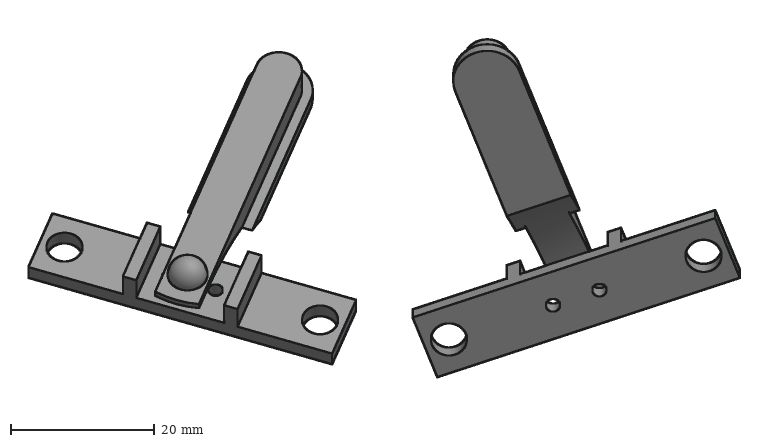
import cadquery as cq

plate_length = 45.0
plate_width = 10.0
plate_thickness = 2.5
rib_thickness = 2.0
rib_gap = 13.0
rib_top = 6.6
mounting_hole_diameter = 5.0
mounting_hole_spacing = 37.85
small_hole_diameter = 2.0
small_hole_spacing = 6.9

lever_width = 6.5
lever_bottom = 0.45
lever_top = 7.0
tip_y = -6.67
tip_sagitta = 0.4
flange_width = 9.5
flange_top = 2.5
overall_length = 47.35
flange_end_y = tip_y + overall_length
round_end_y = flange_end_y - flange_width / 2

arch_heel = (15.15, lever_bottom)
arch_middle = (5.0, 4.9)
arch_tip = (tip_y, 6.05)

knob_y = -1.95
knob_radius = 2.8
knob_height = 2.75


def make_hole_pair(spacing, diameter):
    """Two round cutters through the plate, placed symmetrically along X."""
    return (
        cq.Workplane("XY")
        .pushPoints([(-spacing / 2, 0), (spacing / 2, 0)])
        .circle(diameter / 2)
        .extrude(plate_thickness)
    )


def make_base():
    """Flat plate with two upright ribs, two mounting holes and two small holes."""
    base = cq.Workplane("XY").box(
        plate_length, plate_width, plate_thickness, centered=(True, True, False)
    )
    for side in (-1, 1):
        rib = (
            cq.Workplane("XY")
            .center(side * (rib_gap + rib_thickness) / 2, 0)
            .rect(rib_thickness, plate_width)
            .extrude(rib_top)
        )
        base = base.union(rib)
    mounting_holes = make_hole_pair(mounting_hole_spacing, mounting_hole_diameter)
    small_holes = make_hole_pair(small_hole_spacing, small_hole_diameter)
    return base.cut(mounting_holes).cut(small_holes)


def make_strip():
    """Strip with a semicircular far end and a shallow convex tip."""
    half = lever_width / 2
    shoulder_y = tip_y + tip_sagitta
    return (
        cq.Workplane("XY", origin=(0, 0, lever_bottom))
        .moveTo(-half, shoulder_y)
        .threePointArc((0, tip_y), (half, shoulder_y))
        .lineTo(half, round_end_y)
        .threePointArc((0, round_end_y + half), (-half, round_end_y))
        .close()
        .extrude(lever_top - lever_bottom)
    )


def make_flange():
    """Wider lower step of the handle, rounded at its far end."""
    length = round_end_y - tip_y
    middle_y = (round_end_y + tip_y) / 2
    height = flange_top - lever_bottom
    strip = (
        cq.Workplane("XY", origin=(0, middle_y, lever_bottom))
        .rect(flange_width, length)
        .extrude(height)
    )
    round_end = (
        cq.Workplane("XY", origin=(0, round_end_y, lever_bottom))
        .circle(flange_width / 2)
        .extrude(height)
    )
    return strip.union(round_end)


def make_arch_cutter():
    """Space below the arched underside, across the full flange width."""
    return (
        cq.Workplane("YZ")
        .moveTo(*arch_heel)
        .threePointArc(arch_middle, arch_tip)
        .lineTo(tip_y, lever_bottom)
        .close()
        .extrude(flange_width / 2, both=True)
    )


def make_knob():
    """Spherical dome resting on the top face of the lever."""
    centre_z = lever_top + knob_height - knob_radius
    sphere = cq.Workplane("XY", origin=(0, knob_y, centre_z)).sphere(knob_radius)
    dome_space = (
        cq.Workplane("XY", origin=(0, knob_y, lever_top))
        .rect(2 * knob_radius, 2 * knob_radius)
        .extrude(knob_height)
    )
    return sphere.intersect(dome_space)


def make_lever():
    """Stepped handle thinning along its arch to a tip that carries the knob."""
    strip = make_strip()
    handle = strip.union(make_flange()).cut(make_arch_cutter())
    return handle.union(make_knob())


base = make_base()
lever = make_lever()
result = cq.Compound.makeCompound([base.val(), lever.val()])